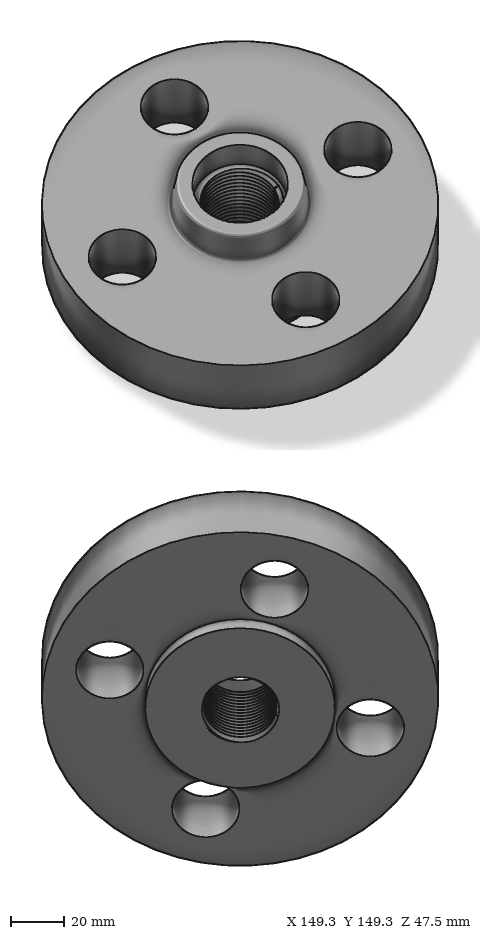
import cadquery as cq
import math

disc_diameter = 149.3
disc_thickness = 28.5

raised_face_diameter = 71.4
raised_face_height = 6.3

hub_base_diameter = 52.3
hub_top_diameter = 48.4
hub_height = 12.7
hub_root_fillet = 1.6
hub_rim_fillet = 1.6

bolt_hole_count = 4
bolt_hole_diameter = 25.4
bolt_circle_diameter = 101.5

socket_diameter = 36.0

thread_crest_diameter = 29.5
thread_turns_per_unit = 0.4554
thread_pitch = 1 / thread_turns_per_unit
thread_depth = 1.8
thread_flank_angle = math.radians(30)
thread_taper = 1 / 16
cutter_overlap = 0.07

selection_margin = 0.1

bottom_z = -disc_thickness - raised_face_height


def make_body():
    """Disc and raised face with the filleted hub on top."""
    disc = cq.Workplane("XY").circle(disc_diameter / 2).extrude(-disc_thickness)
    raised_face = (
        cq.Workplane("XY")
        .workplane(offset=bottom_z)
        .circle(raised_face_diameter / 2)
        .extrude(raised_face_height)
    )
    hub_taper = math.degrees(math.atan((hub_base_diameter - hub_top_diameter) / 2 / hub_height))
    hub = cq.Workplane("XY").circle(hub_base_diameter / 2).extrude(hub_height, taper=hub_taper)
    hub = hub.faces(">Z").edges().fillet(hub_rim_fillet)
    reach = hub_base_diameter / 2 + selection_margin
    hub_root = cq.selectors.BoxSelector(
        (-reach, -reach, -selection_margin),
        (reach, reach, selection_margin),
        boundingbox=True,
    )
    return disc.union(raised_face).union(hub).edges(hub_root).fillet(hub_root_fillet)


def make_bolt_holes():
    """Ring of through holes, two of them on the X axis."""
    return (
        cq.Workplane("XY")
        .polarArray(bolt_circle_diameter / 2, 0, 360, bolt_hole_count)
        .circle(bolt_hole_diameter / 2)
        .extrude(-disc_thickness)
    )


def make_socket():
    """Plain cylinder from the top of the hub down to the thread."""
    return cq.Workplane("XY").circle(socket_diameter / 2).extrude(hub_height)


def thread_crest_radius(z):
    """Crest radius at height z, widest at the socket floor."""
    return (thread_crest_diameter + thread_taper * z) / 2


def make_thread_bore():
    """Tapered bore to the thread crests."""
    return (
        cq.Workplane("XZ")
        .moveTo(0, bottom_z)
        .lineTo(thread_crest_radius(bottom_z), bottom_z)
        .lineTo(thread_crest_radius(0), 0)
        .lineTo(0, 0)
        .close()
        .revolve(360, (0, 0, 0), (0, 1, 0))
    )


def make_groove_turn(start_z):
    """One right-hand turn of the V groove, climbing by one pitch from start_z on the +Y side."""
    start_radius = thread_crest_radius(start_z)
    cone_angle = math.degrees(math.atan(thread_taper / 2))
    helix = cq.Wire.makeHelix(thread_pitch, thread_pitch, start_radius, angle=cone_angle)

    half_width = (thread_depth + cutter_overlap) * math.tan(thread_flank_angle)
    turn = (
        cq.Workplane("XZ")
        .moveTo(start_radius - cutter_overlap, -half_width)
        .lineTo(start_radius + thread_depth, 0)
        .lineTo(start_radius - cutter_overlap, half_width)
        .close()
        .sweep(cq.Workplane(helix), isFrenet=True)
    )
    return turn.rotate((0, 0, 0), (0, 0, 1), 90).translate((0, 0, start_z))


def cut_thread(body):
    """Cut the groove turn by turn, running out past the raised face and into the socket."""
    lowest_turn = -math.ceil(-bottom_z / thread_pitch) - 1
    for turn in range(lowest_turn, 1):
        body = body.cut(make_groove_turn(turn * thread_pitch), clean=False)
    return body


blank = make_body().cut(make_bolt_holes()).cut(make_socket()).cut(make_thread_bore())
result = cut_thread(blank).solids()